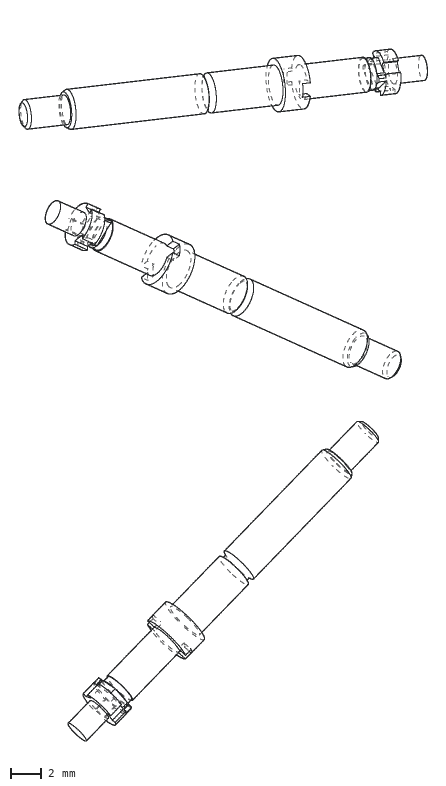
import cadquery as cq
import math

overall_length = 28.5

tip_diameter = 1.7
ring_diameter = 3.0
neck_diameter = 2.2
barrel_diameter = 2.35
collar_diameter = 3.6
body_diameter = 2.7
plunger_diameter = 2.0

ring_start = 2.15
ring_end = 3.2
rhombus_end = 3.7
neck_end = 4.15
collar_start = 8.7
collar_end = 10.5
groove_station = 15.5
shoulder = 25.5

body_chamfer_length = 0.25
body_chamfer_depth = 0.15
plunger_chamfer = 0.2

groove_radius = 0.25

notch_width = 0.95
notch_depth = 0.55

rhombus_slope = math.radians(33.5)

slot_count = 3
slot_width = 0.8
slot_floor_radius = 1.15
first_slot_angle = -90


def along(station):
    """Y coordinate of a distance measured from the rear end."""
    return overall_length / 2 - station


def cylinder(diameter, start, end):
    """Cylinder on the Y axis between two stations."""
    plane = cq.Plane(origin=(0, along(start), 0), xDir=(1, 0, 0), normal=(0, -1, 0))
    return cq.Workplane(plane).circle(diameter / 2).extrude(end - start)


def prism(points, start, end):
    """Prism along Y with a polygonal (x, z) section between two stations."""
    section = cq.Workplane("XZ", origin=(0, along(start), 0)).polyline(points).close()
    return section.extrude(end - start)


def pin():
    """Solid of revolution without the ring and the rhombic section."""
    outline = (
        cq.Workplane("XY")
        .moveTo(0, along(0))
        .lineTo(tip_diameter / 2, along(0))
        .lineTo(tip_diameter / 2, along(rhombus_end))
        .lineTo(neck_diameter / 2, along(rhombus_end))
        .lineTo(neck_diameter / 2, along(neck_end))
        .lineTo(barrel_diameter / 2, along(neck_end))
        .lineTo(barrel_diameter / 2, along(collar_start))
        .lineTo(collar_diameter / 2, along(collar_start))
        .lineTo(collar_diameter / 2, along(collar_end))
        .lineTo(body_diameter / 2, along(collar_end))
        .lineTo(body_diameter / 2, along(groove_station - groove_radius))
        .threePointArc(
            (body_diameter / 2 - groove_radius, along(groove_station)),
            (body_diameter / 2, along(groove_station + groove_radius)),
        )
        .lineTo(body_diameter / 2, along(shoulder - body_chamfer_length))
        .lineTo(body_diameter / 2 - body_chamfer_depth, along(shoulder))
        .lineTo(plunger_diameter / 2, along(shoulder))
        .lineTo(plunger_diameter / 2, along(overall_length - plunger_chamfer))
        .lineTo(plunger_diameter / 2 - plunger_chamfer, along(overall_length))
        .lineTo(0, along(overall_length))
        .close()
    )
    return outline.revolve(360, (0, 0, 0), (0, 1, 0))


def rhombic_section():
    """Rhombus with its ridges at top and bottom, trimmed to the ring diameter."""
    half_height = neck_diameter / 2
    half_width = half_height / math.tan(rhombus_slope)
    corners = [(0, half_height), (half_width, 0), (0, -half_height), (-half_width, 0)]
    return prism(corners, ring_end, rhombus_end).intersect(
        cylinder(ring_diameter, ring_end, rhombus_end)
    )


def ring_slot(angle):
    """Cutter for a flat-bottomed slot; angle is counted in degrees from +X towards +Z."""
    corners = [
        (slot_floor_radius, -slot_width / 2),
        (ring_diameter, -slot_width / 2),
        (ring_diameter, slot_width / 2),
        (slot_floor_radius, slot_width / 2),
    ]
    return prism(corners, ring_start, rhombus_end).rotate((0, 0, 0), (0, 1, 0), -angle)


def collar_notches():
    """Cutter that opens both collar notches down to the barrel surface."""
    end = collar_start + notch_depth
    bar = (
        cq.Workplane("XY")
        .box(collar_diameter, notch_depth, notch_width)
        .translate((0, along(collar_start + notch_depth / 2), 0))
    )
    return bar.cut(cylinder(barrel_diameter, collar_start, end))


ring = cylinder(ring_diameter, ring_start, ring_end).union(rhombic_section())
for index in range(slot_count):
    ring = ring.cut(ring_slot(first_slot_angle + index * 360 / slot_count))

result = pin().union(ring).cut(collar_notches())